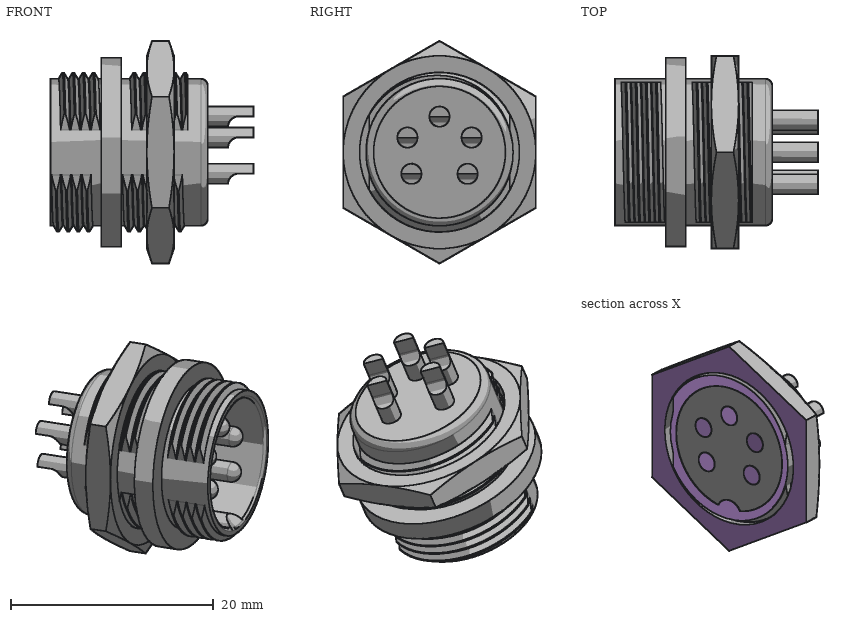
import cadquery as cq
import math


shell_length = 15.51
shell_diameter = 14.5
shell_radius = shell_diameter / 2
bore_radius = 6.5
mouth_round = 0.25
rear_round = 0.72
flange_start = 5.0
flange_width = 2.0
flange_radius = 9.32
flange_end = flange_start + flange_width

thread_pitch = flange_start / 5
crest_radius = 7.85
crest_width = 0.15 * thread_pitch
root_width = 0.95 * thread_pitch
thread_half_breadth = 6.91
thread_embed = 0.05
root_radius = shell_radius - thread_embed
front_turns = 4
rear_turns = 6

insert_thickness = 5.48
insert_front = shell_length - insert_thickness
key_radius = 1.5
key_axis_drop = 7.0
key_start = 0.07
key_seat_radius = 6.58

pin_diameter = 2.0
pin_radius = pin_diameter / 2
pin_tip = 1.0
pin_end = 20.0
cup_start = 17.5
pin_positions = [(0, 3.5), (3.15, 1.45), (-3.15, 1.45), (2.76, -2.13), (-2.76, -2.13)]

nut_start = 9.5
nut_width = 2.68
nut_across_corners = 21.95
nut_across_flats = nut_across_corners * math.cos(math.radians(30))
nut_chamfer_depth = 0.5
nut_bore_radius = crest_radius + 0.02


def rod(radius, start, end, y=0, z=0):
    """Cylinder along X from start to end."""
    return cq.Workplane("YZ", origin=(start, y, z)).circle(radius).extrude(end - start)


def turned(points):
    """Revolve an outline of (x, radius) points about the X axis."""
    return cq.Workplane("XY").polyline(points).close().revolve(360, (0, 0, 0), (1, 0, 0))


def make_thread(start, turns, limit):
    """Right-hand ridge of whole turns that begins at -Y, trimmed by the side flats and at x = limit."""
    length = turns * thread_pitch
    path = cq.Wire.makeHelix(thread_pitch, length, shell_radius)
    ridge = (
        cq.Workplane("XZ")
        .polyline([
            (root_radius, -root_width / 2),
            (crest_radius, -crest_width / 2),
            (crest_radius, crest_width / 2),
            (root_radius, root_width / 2),
        ])
        .close()
        .sweep(cq.Workplane(path), isFrenet=True)
        .rotate((0, 0, 0), (0, 0, 1), -90)
        .rotate((0, 0, 0), (0, 1, 0), 90)
        .translate((start + thread_pitch / 2, 0, 0))
    )
    envelope = cq.Workplane("XY", origin=(start, 0, 0)).box(
        limit - start, 2 * thread_half_breadth, 3 * crest_radius, centered=(False, True, True)
    )
    return ridge.intersect(envelope)


def make_key():
    """Rounded rib along the bottom of the bore, its front end sloped at 45 degrees."""
    key_top_radius = key_axis_drop - key_radius
    sloped_ring = turned([
        (key_start, key_seat_radius),
        (key_start + key_seat_radius - key_top_radius, key_top_radius),
        (insert_front, key_top_radius),
        (insert_front, key_seat_radius),
    ])
    return rod(key_radius, 0, insert_front, z=-key_axis_drop).intersect(sloped_ring)


def make_shell():
    """Open tube with a flange, two threaded stretches and the key in its bore."""
    body = rod(shell_radius, 0, shell_length).faces(">X").edges().fillet(rear_round)
    body = body.cut(rod(bore_radius, 0, shell_length))
    body = body.faces("<X").edges(cq.selectors.RadiusNthSelector(0)).fillet(mouth_round)
    flange = rod(flange_radius, flange_start, flange_end).cut(rod(bore_radius, flange_start, flange_end))
    front_thread = make_thread(0, front_turns, flange_start)
    rear_thread_limit = flange_end + (rear_turns + 0.5) * thread_pitch
    rear_thread = make_thread(flange_end, rear_turns, rear_thread_limit)
    return body.union(flange).union(make_key()).union(front_thread).union(rear_thread)


def make_insert():
    """Disc that closes the rear of the bore, drilled for the pins."""
    disc = rod(bore_radius, insert_front, shell_length)
    for y, z in pin_positions:
        disc = disc.cut(rod(pin_radius, insert_front, shell_length, y, z))
    return disc


def make_pin(y, z):
    """Round pin with a domed tip and a tail cut away to its upper half."""
    dome_centre = pin_tip + pin_radius
    cup_end = cup_start + pin_radius
    round_pin = rod(pin_radius, dome_centre, pin_end).union(
        cq.Workplane("XY", origin=(dome_centre, 0, 0)).sphere(pin_radius)
    )
    bend = pin_radius * math.sin(math.radians(45))
    cutaway = (
        cq.Workplane("XZ")
        .moveTo(cup_start, -pin_radius)
        .threePointArc((cup_end - bend, bend - pin_radius), (cup_end, 0))
        .lineTo(pin_end, 0)
        .lineTo(pin_end, -pin_radius)
        .close()
        .extrude(pin_radius, both=True)
    )
    return round_pin.cut(cutaway).translate((0, y, z))


def make_nut():
    """Hexagon with corners at +Z and -Z, both ends coned, bored to clear the thread crests."""
    nut_end = nut_start + nut_width
    corner_radius = nut_across_corners / 2
    cone_radius = nut_across_flats / 2
    hexagon = (
        cq.Workplane("YZ", origin=(nut_start, 0, 0))
        .transformed(rotate=(0, 0, 90))
        .polygon(6, nut_across_corners)
        .extrude(nut_width)
    )
    coned_blank = turned([
        (nut_start, 0),
        (nut_start, cone_radius),
        (nut_start + nut_chamfer_depth, corner_radius),
        (nut_end - nut_chamfer_depth, corner_radius),
        (nut_end, cone_radius),
        (nut_end, 0),
    ])
    return hexagon.intersect(coned_blank).cut(rod(nut_bore_radius, nut_start, nut_end))


shell = make_shell()
insert = make_insert()
nut = make_nut()
pins = [make_pin(y, z) for y, z in pin_positions]

result = cq.Compound.makeCompound([shell.val(), insert.val(), nut.val(), *[pin.val() for pin in pins]])